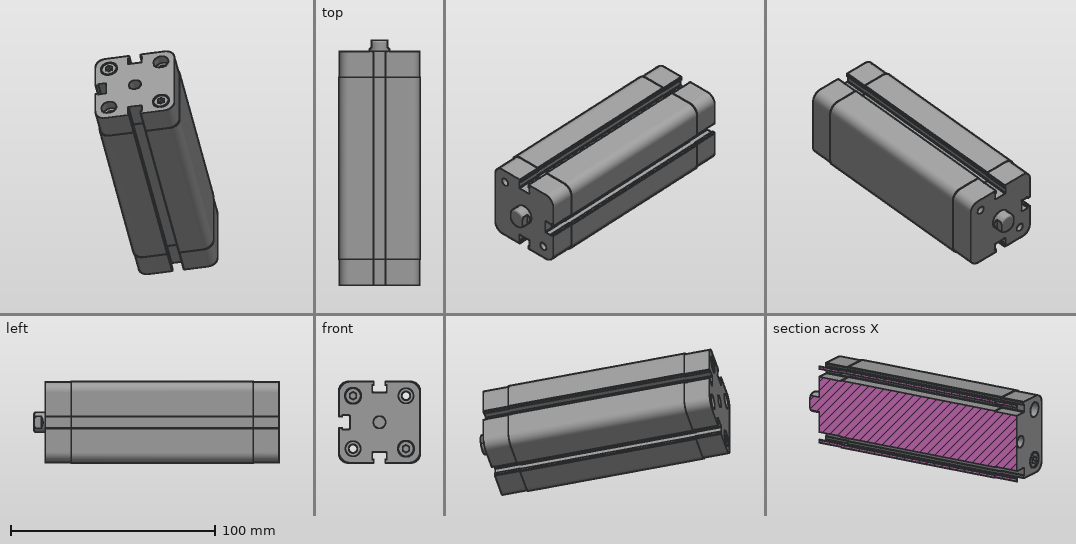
import cadquery as cq
import math

total_length = 120.0
rod_length = 5.5
cap_length = 12.7
housing_length = total_length - rod_length
tube_length = housing_length - 2 * cap_length
front_y = -total_length / 2
housing_rear_y = front_y + housing_length
rear_y = total_length / 2

tube_width = 40.1
cap_width = 39.5
corner_radius = 5.0

slot_mouth_width = 5.4
slot_inner_width = 7.0
slot_depth = 5.4
slot_lip = 1.5
slot_chamfer = 0.4

bore_offset = 13.0
clearance_diameter = 4.1
counterbore_diameter = 7.5
counterbore_depth = 4.8
screw_recess_diameter = 8.0
screw_head_diameter = 7.5
screw_gap_depth = 0.6
hex_across_flats = 3.2
hex_depth = 2.0

center_hole_diameter = 6.0
center_hole_depth = 6.0

rod_diameter = 10.0
rod_across_flats = 8.0
rod_flat_length = 3.5
rod_tip_radius = 1.2


def front_plane(y):
    """Plane at the given Y with its normal toward +Y, local x along -X and local y along Z."""
    return cq.Workplane(cq.Plane(origin=(0, y, 0), xDir=(-1, 0, 0), normal=(0, 1, 0)))


def cylinder(x, z, diameter, y, length):
    """Cylinder along Y that starts at y and runs toward +Y."""
    return front_plane(y).center(-x, z).circle(diameter / 2).extrude(length)


def slot_cutter(width, y, length):
    """T-slot cutter for the top side of a bar of the given width."""
    face = width / 2
    mouth = slot_mouth_width / 2
    inner = slot_inner_width / 2
    ledge = face - slot_lip
    floor = face - slot_depth
    half_outline = [
        (mouth + slot_chamfer, face),
        (mouth, face - slot_chamfer),
        (mouth, ledge),
        (inner, ledge),
        (inner, floor + slot_chamfer),
        (inner - slot_chamfer, floor),
    ]
    mirrored = [(-across, height) for across, height in reversed(half_outline)]
    return front_plane(y).polyline(half_outline + mirrored).close().extrude(length)


def slotted_bar(width, y, length):
    """Rounded square bar with T-slots on the top, -X and bottom sides."""
    bar = front_plane(y).rect(width, width).extrude(length).edges("|Y").fillet(corner_radius)
    cutter = slot_cutter(width, y, length)
    for angle in (0, -90, 180):
        bar = bar.cut(cutter.rotate((0, 0, 0), (0, 1, 0), angle))
    return bar


def clearance_bore(x, z):
    """Through hole with a counterbore in the front face."""
    hole = cylinder(x, z, clearance_diameter, front_y, housing_length)
    return hole.union(cylinder(x, z, counterbore_diameter, front_y, counterbore_depth))


def screw_recess(x, z):
    """Ring gap around a flush screw head, with the hex socket in the head."""
    ring = cylinder(x, z, screw_recess_diameter, front_y, screw_gap_depth)
    ring = ring.cut(cylinder(x, z, screw_head_diameter, front_y, screw_gap_depth))
    corner_diameter = hex_across_flats / math.cos(math.pi / 6)
    socket = front_plane(front_y).polygon(6, corner_diameter).extrude(hex_depth)
    socket = socket.rotate((0, 0, 0), (0, 1, 0), 90).translate((x, 0, z))
    return ring.union(socket)


def rod_end():
    """Rod with a rounded tip and two flats that run out in 45 degree slopes."""
    radius = rod_diameter / 2
    rod = cylinder(0, 0, rod_diameter, housing_rear_y, rod_length)
    rod = rod.faces(">Y").edges().fillet(rod_tip_radius)
    flat = rod_across_flats / 2
    flat_depth = radius - flat
    flat_start_y = rear_y - rod_flat_length
    flat_cut = [
        (flat, rear_y),
        (flat, flat_start_y),
        (radius, flat_start_y - flat_depth),
        (radius, rear_y),
    ]
    cutter = cq.Workplane("XY").polyline(flat_cut).close().extrude(radius, both=True)
    return rod.cut(cutter).cut(cutter.mirror("YZ"))


result = slotted_bar(cap_width, front_y, cap_length)
result = result.union(slotted_bar(tube_width, front_y + cap_length, tube_length))
result = result.union(slotted_bar(cap_width, housing_rear_y - cap_length, cap_length))

for side in (1, -1):
    result = result.cut(clearance_bore(side * bore_offset, side * bore_offset))
    result = result.cut(screw_recess(side * bore_offset, -side * bore_offset))

result = result.cut(cylinder(0, 0, center_hole_diameter, front_y, center_hole_depth))
result = result.union(rod_end())